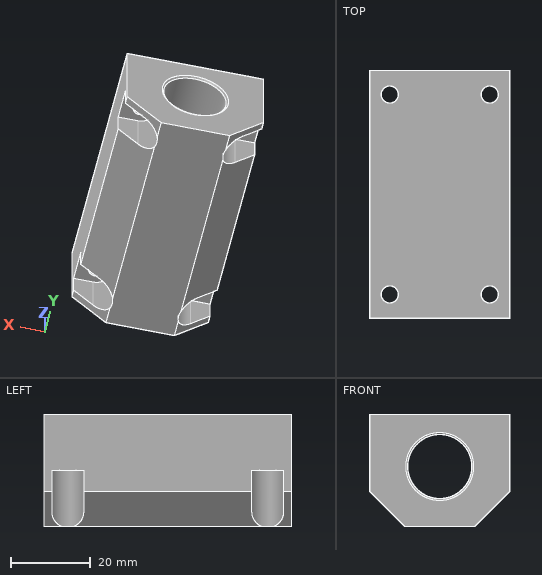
import cadquery as cq

length = 62.0
width = 35.0
height = 28.0
corner_chamfer = 8.75
bore_height = 15.0

bore_diameter = 16.0
bore_chamfer = 0.5

hole_diameter = 4.2
hole_spacing_x = 25.0
hole_spacing_y = 50.0
seat_diameter = 8.0
seat_height = 14.0


def make_block():
    """Rectangular block with its two lower long edges chamfered."""
    block = cq.Workplane("XY").box(width, length, height, centered=(True, True, False))
    return block.faces("<Z").edges("|Y").chamfer(corner_chamfer)


def make_bore():
    """Through bore along Y, chamfered at both mouths."""
    bore = (
        cq.Workplane("XZ", origin=(0, 0, bore_height))
        .circle(bore_diameter / 2)
        .extrude(length / 2, both=True)
    )
    mouth_radius = bore_diameter / 2 + bore_chamfer
    for end in (-1, 1):
        mouth = cq.Solid.makeCone(
            mouth_radius,
            bore_diameter / 2,
            bore_chamfer,
            cq.Vector(0, end * length / 2, bore_height),
            cq.Vector(0, -end, 0),
        )
        bore = bore.union(cq.Workplane(mouth))
    return bore


def make_mounting_cut(side, end):
    """Vertical hole with a U-shaped seat below it, open toward the near side face."""
    x = side * hole_spacing_x / 2
    y = end * hole_spacing_y / 2
    hole = cq.Workplane("XY").center(x, y).circle(hole_diameter / 2).extrude(height)
    seat = cq.Workplane("XY").center(x, y).circle(seat_diameter / 2).extrude(seat_height)
    opening_length = width / 2 - hole_spacing_x / 2
    opening = (
        cq.Workplane("XY")
        .center(x + side * opening_length / 2, y)
        .rect(opening_length, seat_diameter)
        .extrude(seat_height)
    )
    return hole.union(seat).union(opening)


result = make_block().cut(make_bore())
for side in (-1, 1):
    for end in (-1, 1):
        result = result.cut(make_mounting_cut(side, end))